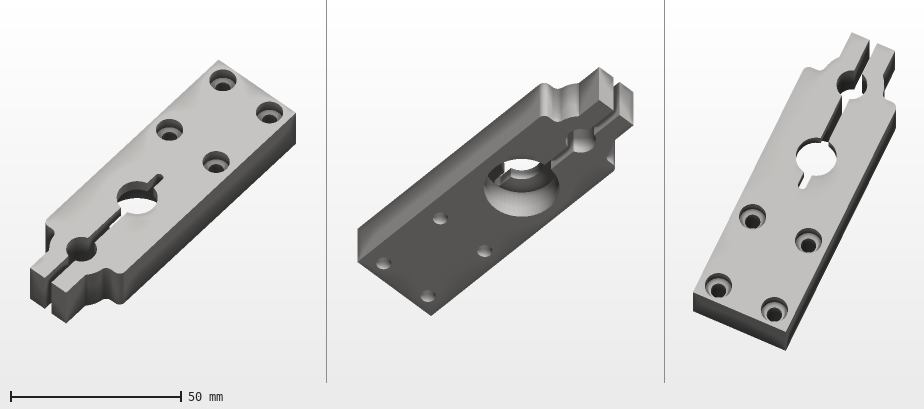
import cadquery as cq

length = 94.0
width = 30.0
height = 15.0

nose_center_y = 15.0
nose_radius = 9.5
jaw_width = 14.0
shoulder_round = 2.0

slot_width = 2.5
small_bore_diameter = 9.0
large_bore_diameter = 12.0
large_bore_y = 40.0
bottom_bore_diameter = 22.2
slot_end_y = 51.0
slot_corner_radius = 1.0
top_web_thickness = 4.0

screw_diameter = 4.5
screw_head_diameter = 8.0
screw_head_depth = 4.0
screw_spacing_x = 18.05
screw_spacing_y = 24.0
screw_back_margin = 5.0


def block(size_x, y_start, y_end):
    """Full-height block centered on X between two Y positions."""
    return cq.Workplane("XY").box(
        size_x, y_end - y_start, height, centered=(True, False, False)
    ).translate((0, y_start, 0))


def cylinder(diameter, y, depth=height):
    """Vertical cylinder on the center line, rising from the underside."""
    return cq.Workplane("XY").center(0, y).circle(diameter / 2).extrude(depth)


def make_body():
    """Rectangular plate narrowing through a round nose to the jaws."""
    plate = block(width, nose_center_y, length)
    nose = cylinder(2 * nose_radius, nose_center_y)
    jaws = block(jaw_width, 0, nose_center_y)
    body = plate.union(nose).union(jaws)

    for x in (width / 2, nose_radius):
        for side in (-1, 1):
            corner = (side * x, nose_center_y, height / 2)
            edge = cq.selectors.NearestToPointSelector(corner)
            body = body.edges("|Z").edges(edge).fillet(shoulder_round)
    return body


def make_clamp_cut():
    """Slot with rounded end corners, two through bores and a wide bore from below."""
    slot = block(slot_width, 0, slot_end_y).edges("|Z and >Y").fillet(slot_corner_radius)
    small_bore = cylinder(small_bore_diameter, nose_center_y)
    large_bore = cylinder(large_bore_diameter, large_bore_y)
    bottom_bore = cylinder(bottom_bore_diameter, large_bore_y, height - top_web_thickness)
    return slot.union(small_bore).union(large_bore).union(bottom_bore)


def cut_mounting_holes(body):
    """Four counterbored holes in a rectangle at the back end."""
    pattern_y = length - screw_back_margin - screw_spacing_y / 2
    return (
        body.faces(">Z")
        .workplane(origin=(0, pattern_y, height))
        .rect(screw_spacing_x, screw_spacing_y, forConstruction=True)
        .vertices()
        .cboreHole(screw_diameter, screw_head_diameter, screw_head_depth)
    )


result = cut_mounting_holes(make_body().cut(make_clamp_cut()))